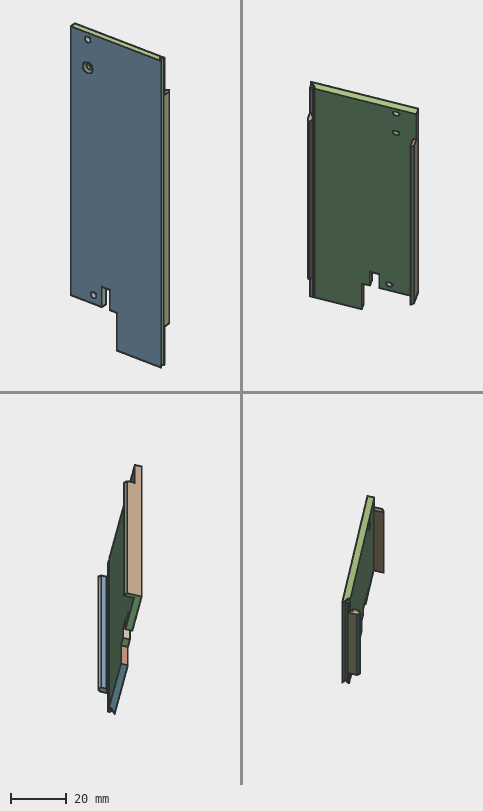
import cadquery as cq

width = 40.3
height = 128.7
thickness = 2.6
rim_depth = 6.3

step_height = 15.8
step_width = 20.5
slot_left = 13.9
slot_width = 3.5
slot_top = 24.3

rim_bottom = step_height
rim_top = 113.1
lip_width = 1.2
lip_chamfer = 0.9

strip_left = 38.9
strip_right = 39.9
neck_left = 38.7
neck_right = 39.1
neck_inner_depth = 1.3
neck_outer_depth = width - neck_right
panel_rear_edge = 38.2
groove_wall_depth = 1.9

hook_left = panel_rear_edge
hook_stem_left = 39.1
hook_underside = 3.5
hook_shoulder = 5.4
hook_tip_left = 38.9
hook_tip_right = 39.3

hole_diameter = 2.5
top_hole = (7.6, 125.9)
bottom_hole = (10.2, 19.5)
countersunk_hole = (7.6, 114.0)
countersink_diameter = 4.5
countersink_angle = 90


def extrude_profile(points, bottom, top):
    """Raise an XY outline between two heights."""
    return cq.Workplane("XY").workplane(offset=bottom).polyline(points).close().extrude(top - bottom)


def cut_box(left, bottom, box_width, box_height):
    """Block that cuts through the panel thickness."""
    block = cq.Workplane("XY").box(box_width, thickness, box_height, centered=False)
    return block.translate((left, 0, bottom))


def make_panel():
    """Panel and edge strip, with a V groove on each side of the neck."""
    strip_foot_depth = neck_outer_depth + strip_right - neck_right
    panel = extrude_profile(
        [
            (0, 0),
            (width, 0),
            (neck_right, neck_outer_depth),
            (strip_right, strip_foot_depth),
            (strip_right, thickness),
            (strip_left, thickness),
            (strip_left, groove_wall_depth),
            (neck_left, neck_inner_depth),
            (panel_rear_edge, groove_wall_depth),
            (panel_rear_edge, thickness),
            (0, thickness),
        ],
        0,
        height,
    )
    corner = cut_box(0, 0, step_width, step_height)
    slot = cut_box(slot_left, step_height, slot_width, slot_top - step_height)
    return panel.cut(corner).cut(slot)


def make_lip():
    """Left rim with a chamfered outer edge."""
    return extrude_profile(
        [
            (0, 0),
            (lip_width, 0),
            (lip_width, rim_depth),
            (lip_chamfer, rim_depth),
            (0, rim_depth - lip_chamfer),
        ],
        rim_bottom,
        rim_top,
    )


def make_hook():
    """Right rim with a pointed, inward-facing head."""
    return extrude_profile(
        [
            (strip_left, thickness),
            (strip_right, thickness),
            (strip_right, hook_shoulder),
            (hook_tip_right, rim_depth),
            (hook_tip_left, rim_depth),
            (hook_left, hook_shoulder),
            (hook_left, hook_underside),
            (strip_left, hook_underside),
            (hook_stem_left, thickness + hook_stem_left - strip_left),
        ],
        rim_bottom,
        rim_top,
    )


front_plane = cq.Workplane("XZ")
result = make_panel().union(make_lip()).union(make_hook())
for center in (top_hole, bottom_hole):
    result = result.cut(front_plane.center(*center).circle(hole_diameter / 2).extrude(-thickness))
result = (
    result.copyWorkplane(front_plane)
    .center(*countersunk_hole)
    .cskHole(hole_diameter, countersink_diameter, countersink_angle)
)